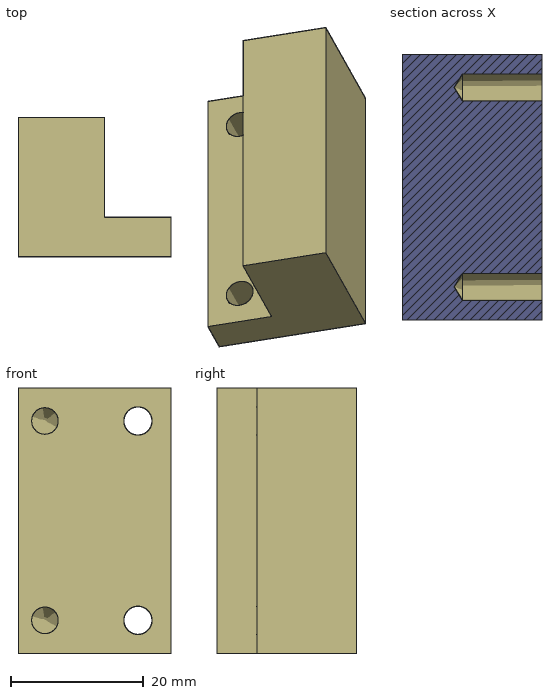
import cadquery as cq
import math

WIDTH = 23.0
DEPTH = 21.0
HEIGHT = 40.0

BODY_WIDTH = 13.0
FLANGE_THICKNESS = 6.0

HOLE_END_MARGIN = 5.0
HOLE_HEIGHTS = (HOLE_END_MARGIN, HEIGHT - HOLE_END_MARGIN)
BLIND_HOLE_X = 4.0
BLIND_HOLE_DIAMETER = 4.0
BLIND_HOLE_DEPTH = 12.0
DRILL_POINT_ANGLE = 118.0
THROUGH_HOLE_X = 18.0
THROUGH_HOLE_DIAMETER = 4.2


def make_block():
    """L-shaped profile extruded upward, front face on Y = 0."""
    profile = [
        (0, 0),
        (WIDTH, 0),
        (WIDTH, FLANGE_THICKNESS),
        (BODY_WIDTH, FLANGE_THICKNESS),
        (BODY_WIDTH, DEPTH),
        (0, DEPTH),
    ]
    return cq.Workplane("XY").polyline(profile).close().extrude(HEIGHT)


def make_blind_hole(height):
    """Drilled hole into the body: a cylinder ending in a conical drill point."""
    radius = BLIND_HOLE_DIAMETER / 2
    point_length = radius / math.tan(math.radians(DRILL_POINT_ANGLE / 2))
    half_section = [
        (0, 0),
        (radius, 0),
        (radius, BLIND_HOLE_DEPTH),
        (0, BLIND_HOLE_DEPTH + point_length),
    ]
    drill = cq.Workplane("XY").polyline(half_section).close().revolve(360, (0, 0), (0, 1))
    return drill.translate((BLIND_HOLE_X, 0, height))


def make_through_hole(height):
    """Clearance hole through the flange."""
    hole = cq.Solid.makeCylinder(
        THROUGH_HOLE_DIAMETER / 2,
        FLANGE_THICKNESS,
        cq.Vector(THROUGH_HOLE_X, 0, height),
        cq.Vector(0, 1, 0),
    )
    return cq.Workplane(hole)


result = make_block()
for hole_height in HOLE_HEIGHTS:
    result = result.cut(make_blind_hole(hole_height))
    result = result.cut(make_through_hole(hole_height))